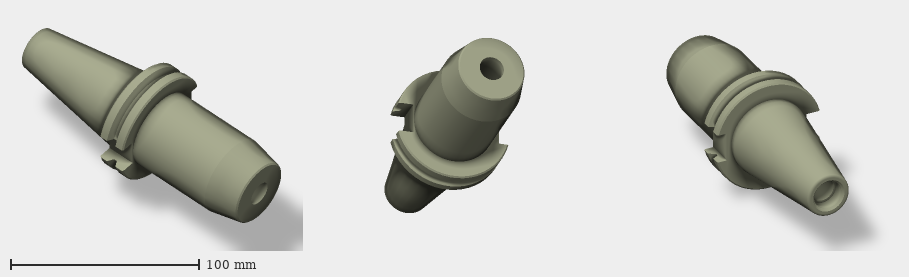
import cadquery as cq

total_length = 157.2
body_radius = 22.2

gauge_x = 68.5
taper_ratio = 7 / 24
shank_end_radius = body_radius - gauge_x * taper_ratio / 2
shank_fillet = 1.5

flange_radius = 31.6
flange_start = 71.4
flange_end = 87.5
flange_chamfer = 0.8
groove_center = 79.4
groove_width = 6.0
groove_floor_width = 1.9
groove_floor_radius = 28.1

slot_width = 16.4
slot_floor_front = 22.5
slot_floor_back = 25.0

nose_start = 138.0
nose_tip_radius = 18.4
nose_chamfer = 0.8

bore_radius = 6.68
counterbore_radius = 8.1
counterbore_depth = 7.9
mouth_radius = 9.3
mouth_depth = 1.4


def revolve_about_x(points):
    """Revolve a closed (x, radius) outline about the X axis."""
    return cq.Workplane("XY").polyline(points).close().revolve(360, (0, 0, 0), (1, 0, 0))


def make_shank():
    shank = revolve_about_x([
        (0, 0),
        (0, shank_end_radius),
        (gauge_x, body_radius),
        (flange_start, body_radius),
        (flange_start, 0),
    ])
    return shank.faces("<X").edges().fillet(shank_fillet)


def make_flange():
    flange = revolve_about_x([
        (flange_start, 0),
        (flange_start, flange_radius - flange_chamfer),
        (flange_start + flange_chamfer, flange_radius),
        (groove_center - groove_width / 2, flange_radius),
        (groove_center - groove_floor_width / 2, groove_floor_radius),
        (groove_center + groove_floor_width / 2, groove_floor_radius),
        (groove_center + groove_width / 2, flange_radius),
        (flange_end - flange_chamfer, flange_radius),
        (flange_end, flange_radius - flange_chamfer),
        (flange_end, 0),
    ])
    for side, floor in ((-1, slot_floor_front), (1, slot_floor_back)):
        slot = cq.Workplane("XY").box(
            flange_end - flange_start, flange_radius, slot_width, centered=(False, True, True)
        ).translate((flange_start, side * (floor + flange_radius / 2), 0))
        flange = flange.cut(slot)
    return flange


def make_nose_body():
    return revolve_about_x([
        (flange_end, 0),
        (flange_end, body_radius),
        (nose_start, body_radius),
        (total_length - nose_chamfer, nose_tip_radius),
        (total_length, nose_tip_radius - nose_chamfer),
        (total_length, 0),
    ])


def make_bore():
    return revolve_about_x([
        (0, 0),
        (0, mouth_radius),
        (mouth_depth, counterbore_radius),
        (counterbore_depth, counterbore_radius),
        (counterbore_depth, bore_radius),
        (total_length, bore_radius),
        (total_length, 0),
    ])


result = make_shank().union(make_flange()).union(make_nose_body()).cut(make_bore())